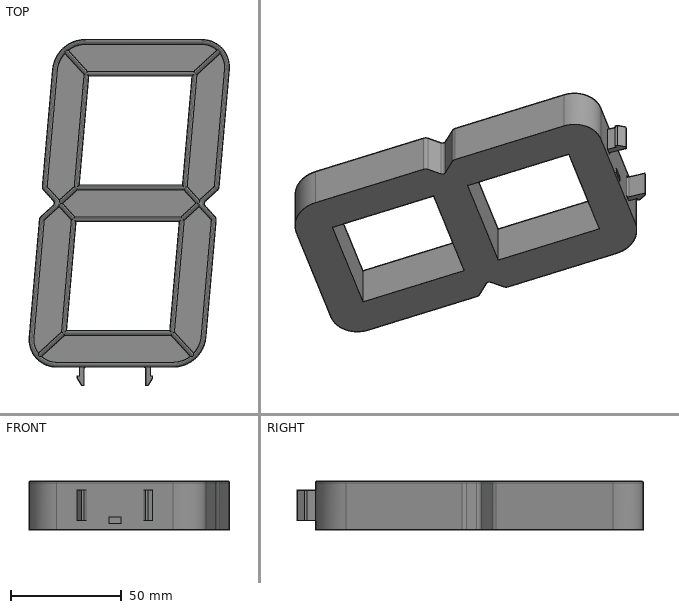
import cadquery as cq
import math


DIGIT_WIDTH = 80.0
DIGIT_HEIGHT = 148.2
HOUSING_DEPTH = 22.0
SLANT = 5
STROKE = 16.6
ACUTE_CORNER_RADIUS = 12.5
OBTUSE_CORNER_RADIUS = 15.0

NOTCH_CORNER_RADIUS = 2.5
NOTCH_APEX_RADIUS = 1.5

WALL = 2.2
RIB = 2.0
RIM_RADIUS = 0.8
PANEL_THICKNESS = 2.0

CLIP_INNER_OFFSET = 14.0
CLIP_OUTER_OFFSET = 16.1
HOOK_OFFSET = 17.0
CLIP_TIP_OFFSET = 15.0
CLIP_LENGTH = 8.3
HOOK_START = 3.9
HOOK_LAND = 1.1
CLIP_BOTTOM = 4.2
CLIP_HEIGHT = 13.8
CLIP_ROOT_RADIUS = 0.8

WINDOW_WIDTH = 5.3
WINDOW_HEIGHT = 2.8
WINDOW_BOTTOM = 3.0
WINDOW_DEPTH = WALL

SLANT_TAN = math.tan(math.radians(SLANT))
SLANT_COS = math.cos(math.radians(SLANT))
OPENING_WIDTH = DIGIT_WIDTH - 2 * STROKE / SLANT_COS
OPENING_HEIGHT = (DIGIT_HEIGHT - 3 * STROKE) / 2
OPENING_PITCH = OPENING_HEIGHT + STROKE
OPENING_CENTRES = (OPENING_PITCH / 2, -OPENING_PITCH / 2)
LOWER_END = -DIGIT_HEIGHT / 2
LOWER_END_MIDDLE = LOWER_END * SLANT_TAN
PANEL_TOP = HOUSING_DEPTH - RIM_RADIUS
PANEL_BOTTOM = PANEL_TOP - PANEL_THICKNESS


def moved(point, angle, distance):
    """The point at a distance from another point, in a direction given in degrees."""
    turn = math.radians(angle)
    return (point[0] + distance * math.cos(turn), point[1] + distance * math.sin(turn))


def slanted_box(centre_y, width, height):
    """Corners of a slanted parallelogram: upper right, upper left, lower left, lower right."""
    top = centre_y + height / 2
    bottom = centre_y - height / 2
    return [
        (top * SLANT_TAN + width / 2, top),
        (top * SLANT_TAN - width / 2, top),
        (bottom * SLANT_TAN - width / 2, bottom),
        (bottom * SLANT_TAN + width / 2, bottom),
    ]


def rounded_outline(corners):
    """Closed outline through (point, radius) corners, each rounded by a tangent arc."""
    outline = None
    for index, (corner, radius) in enumerate(corners):
        before = cq.Vector(*corners[index - 1][0])
        after = cq.Vector(*corners[(index + 1) % len(corners)][0])
        corner = cq.Vector(*corner)
        to_before = (before - corner).normalized()
        to_after = (after - corner).normalized()
        half_angle = to_before.getAngle(to_after) / 2
        tangent_length = radius / math.tan(half_angle)
        arc_start = corner + to_before * tangent_length
        arc_end = corner + to_after * tangent_length
        bisector = (to_before + to_after).normalized()
        arc_middle = corner + bisector * (radius / math.sin(half_angle) - radius)
        if outline is None:
            outline = cq.Workplane("XY").moveTo(arc_start.x, arc_start.y)
        else:
            outline = outline.lineTo(arc_start.x, arc_start.y)
        outline = outline.threePointArc((arc_middle.x, arc_middle.y), (arc_end.x, arc_end.y))
    return outline.close()


def left_notch():
    """Upper corner, apex and lower corner of the right-angled notch in the left side."""
    upper_lean = (90 + SLANT) / 2
    lower_lean = (90 - SLANT) / 2
    upper_direction = 180 - upper_lean
    lower_direction = 180 + lower_lean
    flank_offset = WALL - RIB / 2
    crossing = (-(DIGIT_WIDTH - STROKE / SLANT_COS) / 2, 0)
    apex = moved(moved(crossing, upper_direction, flank_offset), lower_direction, flank_offset)
    upper_rise = math.sin(math.radians(upper_lean))
    lower_rise = math.sin(math.radians(lower_lean))
    apex_depth = STROKE / 2 - flank_offset * (upper_rise + lower_rise)
    upper_corner = moved(apex, upper_direction, apex_depth / upper_rise)
    lower_corner = moved(apex, lower_direction, apex_depth / lower_rise)
    return upper_corner, apex, lower_corner


def digit_outline():
    """Outside of the digit; its second half is the first turned by half a revolution."""
    upper_right, upper_left = slanted_box(0, DIGIT_WIDTH, DIGIT_HEIGHT)[:2]
    notch_upper, notch_apex, notch_lower = left_notch()
    half = [
        (upper_right, ACUTE_CORNER_RADIUS),
        (upper_left, OBTUSE_CORNER_RADIUS),
        (notch_upper, NOTCH_CORNER_RADIUS),
        (notch_apex, NOTCH_APEX_RADIUS),
        (notch_lower, NOTCH_CORNER_RADIUS),
    ]
    other_half = [((-x, -y), radius) for (x, y), radius in half]
    return rounded_outline(half + other_half)


def openings(margin):
    """Cutters for the two through openings, grown by a margin on every side."""
    width = OPENING_WIDTH + 2 * margin / SLANT_COS
    height = OPENING_HEIGHT + 2 * margin
    cutters = cq.Workplane("XY")
    for centre_y in OPENING_CENTRES:
        corners = slanted_box(centre_y, width, height)
        cutters = cutters.add(cq.Workplane("XY").polyline(corners).close().extrude(HOUSING_DEPTH))
    return cutters.combine()


def rib_bars():
    """Bars along the corner bisectors, where the ribs divide the panels."""
    lean = {True: (90 - SLANT) / 2, False: (90 + SLANT) / 2}
    length = 2 * STROKE
    bars = []
    for centre_y in OPENING_CENTRES:
        upper_right, upper_left, lower_left, lower_right = slanted_box(
            centre_y, OPENING_WIDTH, OPENING_HEIGHT
        )
        starts = (
            (upper_right, lean[True]),
            (upper_left, 180 - lean[False]),
            (lower_left, 180 + lean[True]),
            (lower_right, -lean[False]),
        )
        for corner, direction in starts:
            near = (moved(corner, direction - 90, RIB / 2), moved(corner, direction + 90, RIB / 2))
            far = [moved(point, direction, length) for point in near]
            bar = cq.Workplane("XY").polyline([near[0], far[0], far[1], near[1]]).close()
            bars.append(bar.extrude(HOUSING_DEPTH))
    return bars


def make_panels(thickness):
    """The seven panel shapes, standing on the pocket floor."""
    field = digit_outline().offset2D(-WALL).extrude(HOUSING_DEPTH).cut(openings(WALL))
    for bar in rib_bars():
        field = field.cut(bar)
    layer = cq.Workplane("XY").box(
        2 * DIGIT_WIDTH, 2 * DIGIT_HEIGHT, thickness, centered=(True, True, False)
    )
    return field.intersect(layer).translate((0, 0, PANEL_BOTTOM))


def make_clip(side):
    """Snap clip whose hook points away from the middle of the lower end (side is -1 or 1)."""
    def at(offset, distance):
        return (LOWER_END_MIDDLE + side * offset, LOWER_END - distance)

    root_middle = CLIP_ROOT_RADIUS * (1 - math.sqrt(0.5))
    return (
        cq.Workplane("XY")
        .workplane(offset=CLIP_BOTTOM)
        .moveTo(*at(CLIP_INNER_OFFSET - CLIP_ROOT_RADIUS, 0))
        .threePointArc(
            at(CLIP_INNER_OFFSET - root_middle, root_middle),
            at(CLIP_INNER_OFFSET, CLIP_ROOT_RADIUS),
        )
        .lineTo(*at(CLIP_INNER_OFFSET, CLIP_LENGTH))
        .lineTo(*at(CLIP_TIP_OFFSET, CLIP_LENGTH))
        .lineTo(*at(HOOK_OFFSET, HOOK_START + HOOK_LAND))
        .lineTo(*at(HOOK_OFFSET, HOOK_START))
        .lineTo(*at(CLIP_OUTER_OFFSET, HOOK_START))
        .lineTo(*at(CLIP_OUTER_OFFSET, 0))
        .close()
        .extrude(CLIP_HEIGHT)
    )


def make_window():
    """Cutter for the cable window."""
    return (
        cq.Workplane("XY")
        .box(WINDOW_WIDTH, WINDOW_DEPTH, WINDOW_HEIGHT, centered=(True, False, False))
        .translate((LOWER_END_MIDDLE, LOWER_END, WINDOW_BOTTOM))
    )


def make_housing():
    """Housing with its panel pockets, rounded rim, window and clips."""
    housing = digit_outline().extrude(HOUSING_DEPTH).cut(openings(0))
    housing = housing.cut(make_panels(HOUSING_DEPTH - PANEL_BOTTOM))
    housing = housing.faces(">Z").edges().fillet(RIM_RADIUS)
    housing = housing.cut(make_window())
    for side in (-1, 1):
        housing = housing.union(make_clip(side))
    return housing


housing = make_housing()
panels = make_panels(PANEL_THICKNESS)
result = cq.Compound.makeCompound([housing.val(), *panels.solids().vals()])